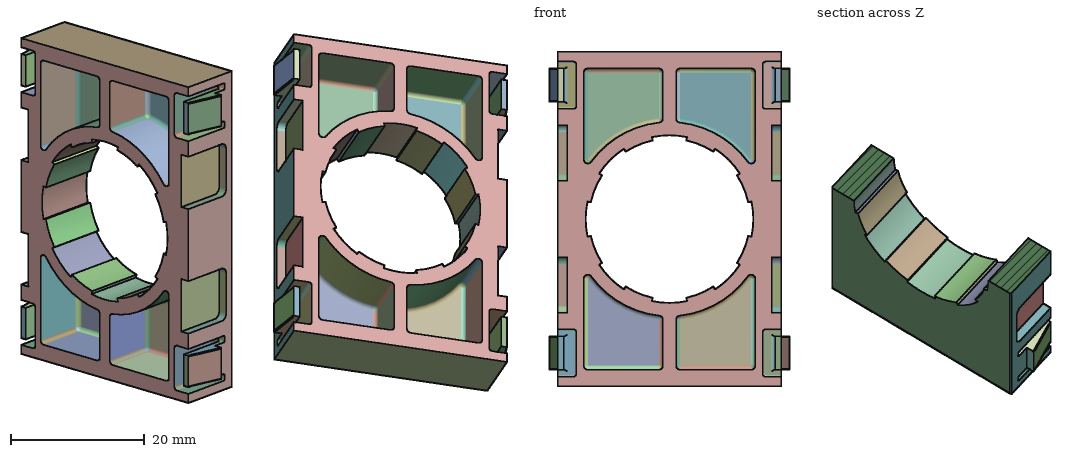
import cadquery as cq
import math

height = 50.0
body_width = 33.4
depth = 10.0
back_chamfer = 0.2
front_y = -depth / 2
side_x = body_width / 2

bore_radius = 12.0
recess_radius = 12.5
recess_count = 8
recess_half_angle = 12.0

pocket_depth = 8.5
pocket_inner_x = 1.0
pocket_outer_x = 12.8
pocket_top_z = 22.5
ring_radius = 14.5
pocket_fillet = 0.6

grip_bottom_z = 5.7
grip_height = 8.3
grip_inset = 1.4
grip_depth = 8.5
grip_fillet = 1.0

latch_z = 20.0
slot_height = 7.1
slot_inset = 2.8
slot_depth = 8.15
slot_corner_radius = 0.5
slot_floor_fillet = 0.25
tongue_root_fillet = 0.55
tongue_height = 5.0
tongue_thickness = 0.9
wedge_overhang = 1.25
wedge_length = 6.0
wedge_land = 0.4
wedge_chamfer = 0.15


def front_box(x_min, x_max, z_min, z_max, length):
    """Box reaching from the front face backwards by the given length."""
    box = cq.Workplane("XY").box(x_max - x_min, length, z_max - z_min, centered=False)
    return box.translate((x_min, front_y, z_min))


def in_all_quadrants(solid):
    """The solid together with its mirror images across the X and Z centre planes."""
    pair = solid.union(solid.mirror("YZ"))
    return pair.union(pair.mirror("XY"))


def make_bore():
    """Bore cutter: a cylinder with sectors reaching out to the recess radius."""
    core = cq.Workplane("XZ").circle(bore_radius).extrude(depth / 2, both=True)
    half_angle = math.radians(recess_half_angle)
    edge_x = recess_radius * math.sin(half_angle)
    edge_z = recess_radius * math.cos(half_angle)
    sector = (
        cq.Workplane("XZ")
        .lineTo(-edge_x, edge_z)
        .threePointArc((0, recess_radius), (edge_x, edge_z))
        .close()
        .extrude(depth / 2, both=True)
    )
    for index in range(recess_count):
        core = core.union(sector.rotate((0, 0, 0), (0, 1, 0), index * 360 / recess_count))
    return core


def make_pocket():
    """Pocket cutter for the upper +X corner, rounded along its walls and floor."""
    pocket = front_box(pocket_inner_x, pocket_outer_x, 0, pocket_top_z, pocket_depth)
    ring = cq.Workplane("XZ").circle(ring_radius).extrude(depth, both=True)
    return pocket.cut(ring).edges("|Y or >Y").fillet(pocket_fillet)


def make_grip():
    """Grip recess cutter for the upper +X side."""
    grip_top_z = grip_bottom_z + grip_height
    grip = front_box(side_x - grip_inset, side_x, grip_bottom_z, grip_top_z, grip_depth)
    return grip.edges("|X and >Y").fillet(grip_fillet)


def make_slot():
    """Slot cutter that leaves the upper +X tongue standing, rounded along its floor."""
    slot_bottom_z = latch_z - slot_height / 2
    slot = front_box(side_x - slot_inset, side_x, slot_bottom_z, slot_bottom_z + slot_height, slot_depth)
    slot = slot.edges("|Y and <X").fillet(slot_corner_radius)
    tongue_inner_x = side_x - tongue_thickness
    tongue_bottom_z = latch_z - tongue_height / 2
    tongue = front_box(tongue_inner_x, side_x, tongue_bottom_z, tongue_bottom_z + tongue_height, slot_depth)
    slot = slot.cut(tongue)
    tongue_root = cq.selectors.NearestToPointSelector((tongue_inner_x, front_y + slot_depth, latch_z))
    slot = slot.edges(tongue_root).fillet(tongue_root_fillet)
    return slot.faces(">Y").edges("not >X").fillet(slot_floor_fillet)


def make_wedge():
    """Catch on the outside of the upper +X tongue, rising from the front edge to a short land."""
    wedge_y = front_y + wedge_length
    wedge = (
        cq.Workplane("XY", origin=(0, 0, latch_z))
        .moveTo(side_x - tongue_thickness, front_y)
        .lineTo(side_x, front_y)
        .lineTo(side_x + wedge_overhang, wedge_y - wedge_land)
        .lineTo(side_x + wedge_overhang, wedge_y)
        .lineTo(side_x - tongue_thickness, wedge_y)
        .close()
        .extrude(tongue_height / 2, both=True)
    )
    return wedge.edges("#Z and (not (|X or |Y))").chamfer(wedge_chamfer)


body = cq.Workplane("XY").box(body_width, depth, height)
body = body.faces(">Y").chamfer(back_chamfer)
body = body.cut(make_bore())
for cutter in (make_pocket(), make_grip(), make_slot()):
    body = body.cut(in_all_quadrants(cutter))

result = body.union(in_all_quadrants(make_wedge()))